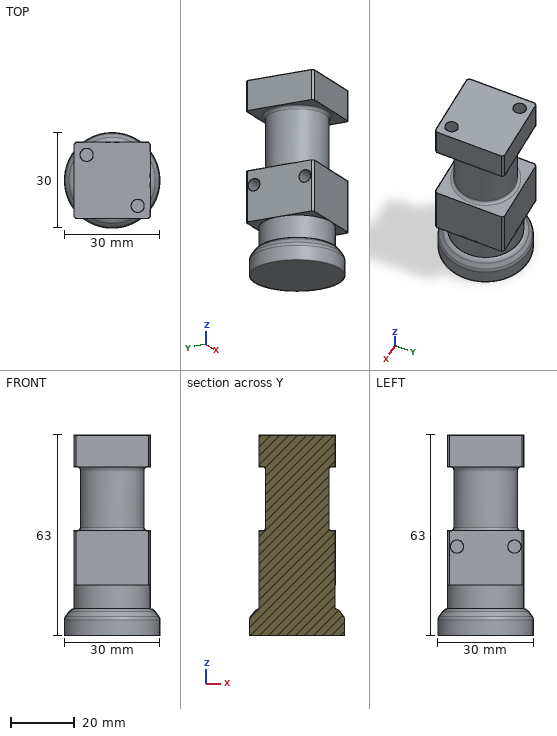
import cadquery as cq
import math

total_height = 62.95
head_height = 10.0
neck_length = 20.0
body_height = 17.0
base_height = 8.55

block_width = 24.0
corner_diameter = 33.0

base_diameter = 30.0
collar_diameter = 24.0
neck_diameter = 20.0
neck_fillet = 1.0

rim_height = 5.5
shoulder_angle = 54.0
rim_round = 2.0
shoulder_round = 2.5
bottom_edge_round = 0.1

hole_diameter = 4.13
hole_depth = 8.0
head_hole_offset = 8.0
body_hole_offset = 9.0
body_hole_drop = 5.0

head_bottom = total_height - head_height
body_top = head_bottom - neck_length
body_bottom = body_top - body_height


def square_block(bottom, height):
    """Square block on the Z axis with its vertical corners turned round."""
    level = cq.Workplane("XY").workplane(offset=bottom)
    turned_bar = level.circle(corner_diameter / 2).extrude(height)
    return level.rect(block_width, block_width).extrude(height).intersect(turned_bar)


def make_base():
    """Round foot: a straight rim below a conical shoulder, with rounded corners."""
    base_radius = base_diameter / 2
    shoulder_run = (base_height - rim_height) / math.tan(math.radians(shoulder_angle))
    profile = (
        cq.Workplane("XZ")
        .lineTo(base_radius, 0)
        .lineTo(base_radius, rim_height)
        .lineTo(base_radius - shoulder_run, base_height)
        .lineTo(0, base_height)
        .close()
    )
    foot = profile.revolve(360, (0, 0, 0), (0, 1, 0))
    rim_corner = cq.selectors.BoxSelector(
        (-base_diameter, -base_diameter, rim_height / 2),
        (base_diameter, base_diameter, (rim_height + base_height) / 2),
        boundingbox=True,
    )
    foot = foot.edges("%CIRCLE").edges(rim_corner).fillet(rim_round)
    foot = foot.faces(">Z").edges().fillet(shoulder_round)
    return foot.faces("<Z").edges().fillet(bottom_edge_round)


def make_collar():
    """Cylinder joining the foot to the body."""
    return cq.Workplane("XY").circle(collar_diameter / 2).extrude(body_bottom)


def make_neck():
    """Cylinder between body and head, flared by a concave fillet at each end."""
    radius = neck_diameter / 2
    flare_radius = radius + neck_fillet
    arc_mid = neck_fillet * math.sqrt(0.5)
    lower_tangent = body_top + neck_fillet
    upper_tangent = head_bottom - neck_fillet
    profile = (
        cq.Workplane("XZ")
        .moveTo(0, body_top)
        .lineTo(flare_radius, body_top)
        .threePointArc((flare_radius - arc_mid, lower_tangent - arc_mid), (radius, lower_tangent))
        .lineTo(radius, upper_tangent)
        .threePointArc((flare_radius - arc_mid, upper_tangent + arc_mid), (flare_radius, head_bottom))
        .lineTo(0, head_bottom)
        .close()
    )
    return profile.revolve(360, (0, 0, 0), (0, 1, 0))


def blind_hole(mouth, direction):
    """Cylindrical cutter running from the hole's mouth into the part."""
    cutter = cq.Solid.makeCylinder(hole_diameter / 2, hole_depth, cq.Vector(*mouth), cq.Vector(*direction))
    return cq.Workplane(cutter)


result = (
    make_base()
    .union(make_collar())
    .union(square_block(body_bottom, body_height))
    .union(make_neck())
    .union(square_block(head_bottom, head_height))
)

for side in (-1, 1):
    head_mouth = (side * head_hole_offset, -side * head_hole_offset, total_height)
    result = result.cut(blind_hole(head_mouth, (0, 0, -1)))
    body_mouth = (-block_width / 2, side * body_hole_offset, body_top - body_hole_drop)
    result = result.cut(blind_hole(body_mouth, (1, 0, 0)))